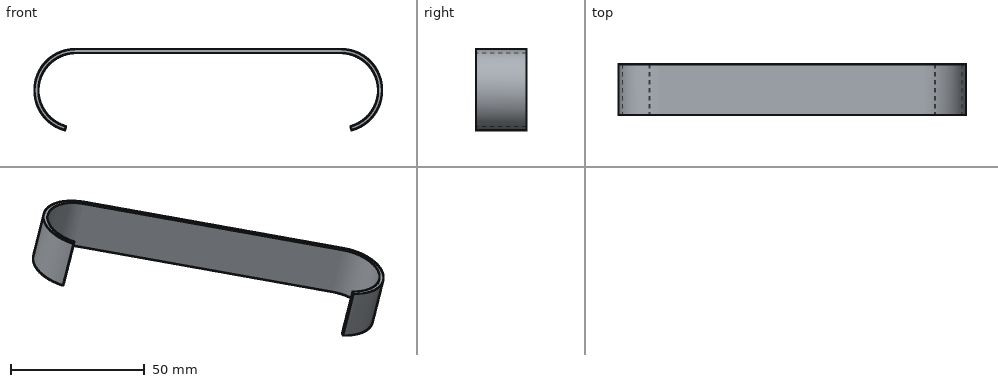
import cadquery as cq
import math

length = 130.0
width = 19.0
thickness = 1.5
outer_radius = 15.5
tip_angle = 15.0

inner_radius = outer_radius - thickness
bend_x = length / 2 - outer_radius
top_z = outer_radius


def hook_tip(radius):
    """Point (X, Z) where an arc of the right-hand hook ends."""
    angle = math.radians(tip_angle)
    return (bend_x + radius * math.sin(angle), -radius * math.cos(angle))


def mirrored(point):
    """Matching point on the left-hand hook."""
    return (-point[0], point[1])


outer_tip = hook_tip(outer_radius)
inner_tip = hook_tip(inner_radius)
outer_side = (bend_x + outer_radius, 0)
inner_side = (bend_x + inner_radius, 0)

profile = (
    cq.Workplane("XZ")
    .moveTo(-bend_x, top_z)
    .lineTo(bend_x, top_z)
    .threePointArc(outer_side, outer_tip)
    .lineTo(*inner_tip)
    .threePointArc(inner_side, (bend_x, inner_radius))
    .lineTo(-bend_x, inner_radius)
    .threePointArc(mirrored(inner_side), mirrored(inner_tip))
    .lineTo(*mirrored(outer_tip))
    .threePointArc(mirrored(outer_side), (-bend_x, top_z))
    .close()
)

result = profile.extrude(width / 2, both=True)